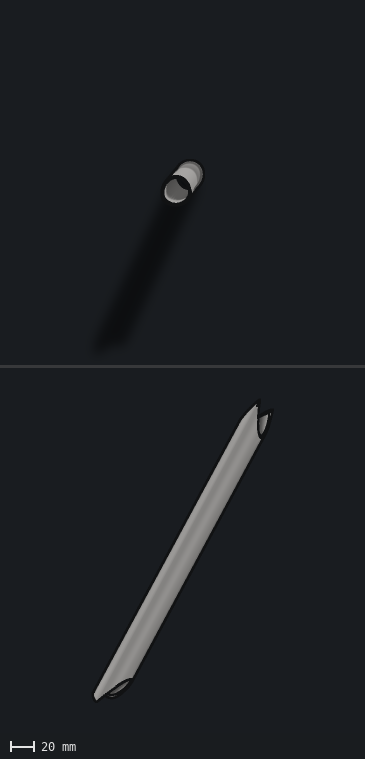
import cadquery as cq
import math

tube_radius = 12.7
wall = 1.5
span_x = 219.4
span_y = -85.5
span_z = 190.75
seam_angle = 27.0

cope_radius = 13.43
cope_offset = 0.69
brace_radius = 12.7
brace_heading = 94.9
brace_slope = -65.8
cutter_length = 120.0

span = cq.Vector(span_x, span_y, span_z)
tube_direction = span.normalized()
x_axis = cq.Vector(1, 0, 0)
side = tube_direction.cross(x_axis).normalized()
lower_node = span * -0.5
upper_node = span * 0.5


def make_tube():
    """Straight round tube running from the lower node to the upper node."""
    seam_direction = tube_direction.cross(side) * math.cos(math.radians(seam_angle)) - side * math.sin(
        math.radians(seam_angle)
    )
    end_plane = cq.Plane(origin=lower_node, xDir=seam_direction, normal=tube_direction)
    ring = cq.Workplane(end_plane).circle(tube_radius).circle(tube_radius - wall)
    return ring.extrude(span.Length)


def make_cutter(center, direction, radius):
    """Solid cylinder reaching equally far both ways from its center."""
    start = center - direction * (cutter_length / 2)
    return cq.Workplane(obj=cq.Solid.makeCylinder(radius, cutter_length, start, direction))


heading = math.radians(brace_heading)
slope = math.radians(brace_slope)
brace_direction = cq.Vector(
    math.cos(slope) * math.cos(heading),
    math.cos(slope) * math.sin(heading),
    math.sin(slope),
)

result = make_tube()
for node in (lower_node, upper_node):
    result = result.cut(make_cutter(node + side * cope_offset, x_axis, cope_radius))
result = result.cut(make_cutter(upper_node, brace_direction, brace_radius))